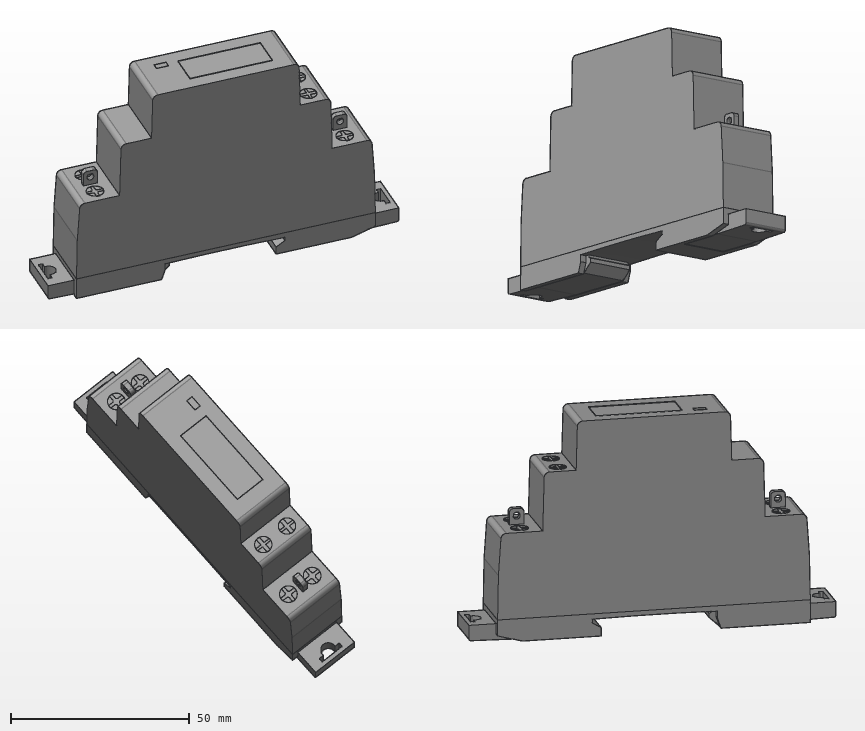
import cadquery as cq
import math

LENGTH = 105.4
WIDTH = 17.9
HEIGHT = 63.0

SEAM_Z = 6.6
KNEE_Z = 19.6
LOWER_STEP_Z = 31.7
MIDDLE_STEP_Z = 48.8
BODY_HALF_LENGTH = 44.9
LOWER_STEP_HALF = 43.8
MIDDLE_FOOT_HALF = 31.9
TOP_FOOT_HALF = 22.3
WALL_LEAN = math.tan(math.radians(1.5))
KNEE_LEAN = math.tan(math.radians(1.0))
STEP_ROUND = 1.6

SCREW_X = 4.3
OUTER_SCREW_Y = 37.5
INNER_SCREW_Y = 26.6
OUTER_SCREW_DIAMETER = 5.0
INNER_SCREW_DIAMETER = 4.8
SCREW_RECESS = 0.1
CROSS_DEPTH = 0.1
OUTER_CROSS_WIDTH = 1.0
OUTER_CROSS_ROUND = 0.5
INNER_CROSS_WIDTH_X = 1.2
INNER_CROSS_WIDTH_Y = 0.7

DISPLAY_WIDTH = 9.3
DISPLAY_LENGTH = 24.8
DISPLAY_Y = 3.3
DISPLAY_THICKNESS = 1.1
DISPLAY_SETBACK = 0.2
INDICATOR_WIDTH = 1.9
INDICATOR_LENGTH = 3.6
INDICATOR_RECESS = 0.1
INDICATOR_Y = -14.2

LUG_THICKNESS = 1.7
LUG_LENGTH = 4.2
LUG_HEIGHT = 4.6
LUG_ROUND = 1.1
LUG_HOLE_DIAMETER = 2.0
LUG_HOLE_HEIGHT = 2.5

RAIL_TOP_Z = 5.1
RAIL_CROWN = 0.2
BEVEL_LENGTH = 7.2
BEVEL_HEIGHT = 2.0
HOOK_TIP_Y = 15.1
HOOK_TIP_Z = 2.4
HOOK_ROOT_Y = 17.7
HOOK_ROOT_Z = 4.0
WALL_Y = -18.2
WALL_BEND_Z = 3.1
WALL_FOOT_Y = -19.3

CLIP_WIDTH = 14.1
CLIP_TIP_Z = 0.5
CLIP_UNDERSIDE_Z = 0.2
CLIP_FLAT_Y = 40.0
CLIP_ROUND = 0.6
FIXED_CLIP_INNER_Y = 25.3
CATCH_NECK_Y = -16.9
CATCH_NECK_Z = 4.3
CATCH_TIP_Y = -16.2
CATCH_TIP_TOP_Z = 4.0
CATCH_TIP_BOTTOM_Z = 2.8
CATCH_FOOT_Y = -19.1

SLOT_BAR_WIDTH = 7.3
SLOT_OUTER_Y = 51.4
SLOT_SHOULDER_Y = 50.2
SLOT_ROUND_Y = 49.7
SLOT_RADIUS = 2.1


def extrude_across(outline, width):
    """Extrude a YZ outline along X, centred on X = 0."""
    return outline.extrude(width / 2, both=True)


def edge_at(y, z):
    """Select the edge nearest to a point on the middle plane X = 0."""
    return cq.selectors.NearestToPointSelector((0, y, z))


def block_on(x, y, z, width, length, height):
    """Upright block whose bottom face is centred on (x, y, z)."""
    return cq.Workplane("XY", origin=(x, y, z)).rect(width, length).extrude(height)


def make_shell():
    """Plain housing body with its three rounded steps."""
    knee_half = BODY_HALF_LENGTH - (KNEE_Z - SEAM_Z) * KNEE_LEAN
    middle_half = MIDDLE_FOOT_HALF - (MIDDLE_STEP_Z - LOWER_STEP_Z) * WALL_LEAN
    top_half = TOP_FOOT_HALF - (HEIGHT - MIDDLE_STEP_Z) * WALL_LEAN
    lower_corner = (LOWER_STEP_HALF, LOWER_STEP_Z)
    middle_corner = (middle_half, MIDDLE_STEP_Z)
    top_corner = (top_half, HEIGHT)
    half_profile = [
        (BODY_HALF_LENGTH, SEAM_Z),
        (knee_half, KNEE_Z),
        lower_corner,
        (MIDDLE_FOOT_HALF, LOWER_STEP_Z),
        middle_corner,
        (TOP_FOOT_HALF, MIDDLE_STEP_Z),
        top_corner,
    ]
    mirrored = [(-y, z) for y, z in reversed(half_profile)]
    shell = extrude_across(cq.Workplane("YZ").polyline(half_profile + mirrored).close(), WIDTH)
    for y, z in (lower_corner, middle_corner, top_corner):
        for side in (-1, 1):
            shell = shell.edges(edge_at(side * y, z)).fillet(STEP_ROUND)
    return shell


def screw_recess(diameter, cross_width_x, cross_width_y, corner_round=0):
    """Cutter for one screw head, with the surface of the step at Z = 0."""
    depth = SCREW_RECESS + CROSS_DEPTH
    cross = block_on(0, 0, -depth, cross_width_x, 2 * diameter, depth)
    cross = cross.union(block_on(0, 0, -depth, 2 * diameter, cross_width_y, depth))
    if corner_round:
        radius = diameter / 2
        center_box = cq.selectors.BoxSelector((-radius, -radius, -depth), (radius, radius, 0))
        cross = cross.edges("|Z").edges(center_box).fillet(corner_round)
    cross = cross.intersect(cq.Workplane("XY").circle(diameter / 2).extrude(-depth))
    return cross.union(cq.Workplane("XY").circle(diameter / 2).extrude(-SCREW_RECESS))


def make_housing():
    housing = make_shell()
    outer_screw = screw_recess(
        OUTER_SCREW_DIAMETER, OUTER_CROSS_WIDTH, OUTER_CROSS_WIDTH, OUTER_CROSS_ROUND)
    inner_screw = screw_recess(INNER_SCREW_DIAMETER, INNER_CROSS_WIDTH_X, INNER_CROSS_WIDTH_Y)
    for x in (-SCREW_X, SCREW_X):
        for y in (-OUTER_SCREW_Y, OUTER_SCREW_Y):
            housing = housing.cut(outer_screw.translate((x, y, LOWER_STEP_Z)))
        housing = housing.cut(inner_screw.translate((x, INNER_SCREW_Y, MIDDLE_STEP_Z)))
    window_depth = DISPLAY_SETBACK + DISPLAY_THICKNESS
    window = block_on(0, DISPLAY_Y, HEIGHT - window_depth, DISPLAY_WIDTH, DISPLAY_LENGTH, window_depth)
    indicator = block_on(
        -SCREW_X, INDICATOR_Y, HEIGHT - INDICATOR_RECESS,
        INDICATOR_WIDTH, INDICATOR_LENGTH, INDICATOR_RECESS)
    return housing.cut(window).cut(indicator)


def make_display():
    bottom_z = HEIGHT - DISPLAY_SETBACK - DISPLAY_THICKNESS
    return block_on(0, DISPLAY_Y, bottom_z, DISPLAY_WIDTH, DISPLAY_LENGTH, DISPLAY_THICKNESS)


def make_lug(y):
    """Upright sealing lug with a cross hole, in line with the outer screws."""
    lug = block_on(0, y, LOWER_STEP_Z, LUG_THICKNESS, LUG_LENGTH, LUG_HEIGHT)
    lug = lug.faces(">Z").edges("|X").fillet(LUG_ROUND)
    hole = cq.Workplane("YZ").center(y, LOWER_STEP_Z + LUG_HOLE_HEIGHT).circle(LUG_HOLE_DIAMETER / 2)
    return lug.cut(extrude_across(hole, LUG_THICKNESS))


def make_clip(side, inner_end):
    """Clip whose outer end points to +Y (side 1) or -Y (side -1); inner_end runs from bottom to top."""
    end_y = side * LENGTH / 2
    outline = [
        (end_y, RAIL_TOP_Z),
        (end_y, CLIP_TIP_Z),
        (side * CLIP_FLAT_Y, CLIP_UNDERSIDE_Z),
    ] + inner_end
    clip = extrude_across(cq.Workplane("YZ").polyline(outline).close(), CLIP_WIDTH)
    clip = clip.edges(edge_at(end_y, CLIP_TIP_Z)).fillet(CLIP_ROUND)
    slot = (
        cq.Workplane("XY")
        .moveTo(-SLOT_BAR_WIDTH / 2, side * SLOT_OUTER_Y)
        .lineTo(-SLOT_BAR_WIDTH / 2, side * SLOT_SHOULDER_Y)
        .lineTo(-SLOT_RADIUS, side * SLOT_SHOULDER_Y)
        .lineTo(-SLOT_RADIUS, side * SLOT_ROUND_Y)
        .threePointArc((0, side * (SLOT_ROUND_Y - SLOT_RADIUS)), (SLOT_RADIUS, side * SLOT_ROUND_Y))
        .lineTo(SLOT_RADIUS, side * SLOT_SHOULDER_Y)
        .lineTo(SLOT_BAR_WIDTH / 2, side * SLOT_SHOULDER_Y)
        .lineTo(SLOT_BAR_WIDTH / 2, side * SLOT_OUTER_Y)
        .close()
        .extrude(RAIL_TOP_Z)
    )
    return clip.cut(slot)


def make_fixed_clip():
    """Clip at the hook end, with a plain inner end."""
    return make_clip(1, [(FIXED_CLIP_INNER_Y, CLIP_UNDERSIDE_Z), (FIXED_CLIP_INNER_Y, RAIL_TOP_Z)])


def make_catch_clip():
    """Clip whose inner end is the catch that grips the rail."""
    catch = [
        (CATCH_FOOT_Y, CLIP_UNDERSIDE_Z),
        (CATCH_TIP_Y, CATCH_TIP_BOTTOM_Z),
        (CATCH_TIP_Y, CATCH_TIP_TOP_Z),
        (CATCH_NECK_Y, CATCH_NECK_Z),
        (CATCH_NECK_Y, RAIL_TOP_Z),
    ]
    return make_clip(-1, catch)


def make_base():
    """Base with a hooked rail notch and a channel, open below, for each clip."""
    outline = (
        cq.Workplane("YZ")
        .moveTo(BODY_HALF_LENGTH, SEAM_Z)
        .lineTo(BODY_HALF_LENGTH, BEVEL_HEIGHT)
        .lineTo(BODY_HALF_LENGTH - BEVEL_LENGTH, 0)
        .lineTo(HOOK_TIP_Y, 0)
        .lineTo(HOOK_TIP_Y, HOOK_TIP_Z)
        .lineTo(HOOK_ROOT_Y, HOOK_ROOT_Z)
        .lineTo(HOOK_ROOT_Y, RAIL_TOP_Z)
        .threePointArc(((HOOK_ROOT_Y + WALL_Y) / 2, RAIL_TOP_Z + RAIL_CROWN), (WALL_Y, RAIL_TOP_Z))
        .lineTo(WALL_Y, WALL_BEND_Z)
        .lineTo(WALL_FOOT_Y, 0)
        .lineTo(-BODY_HALF_LENGTH, 0)
        .lineTo(-BODY_HALF_LENGTH, SEAM_Z)
        .close()
    )
    base = extrude_across(outline, WIDTH)
    fixed_length = BODY_HALF_LENGTH - FIXED_CLIP_INNER_Y
    fixed_y = (BODY_HALF_LENGTH + FIXED_CLIP_INNER_Y) / 2
    catch_length = BODY_HALF_LENGTH + WALL_Y
    catch_y = (WALL_Y - BODY_HALF_LENGTH) / 2
    for y, length in ((fixed_y, fixed_length), (catch_y, catch_length)):
        base = base.cut(block_on(0, y, 0, CLIP_WIDTH, length, RAIL_TOP_Z))
    return base


housing = make_housing()
base = make_base()
display = make_display()
fixed_clip = make_fixed_clip()
catch_clip = make_catch_clip()
lugs = [make_lug(y) for y in (-OUTER_SCREW_Y, OUTER_SCREW_Y)]

result = cq.Compound.makeCompound([
    housing.val(),
    base.val(),
    display.val(),
    fixed_clip.val(),
    catch_clip.val(),
    *[lug.val() for lug in lugs],
])